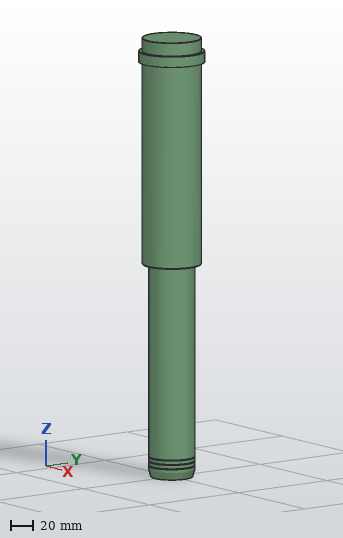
import cadquery as cq

total_length = 403.0
head_length = 12.0
flange_thickness = 10.0
sleeve_length = 186.0

head_diameter = 54.0
flange_diameter = 60.0
sleeve_diameter = 54.0
rod_diameter = 42.0

head_chamfer = 0.5
flange_chamfer = 0.5
tip_chamfer = 0.5
sleeve_chamfer = 1.0
tip_taper_length = 7.0
tip_taper_inset = 1.9

groove_count = 3
groove_width = 1.0
groove_depth = 0.5
groove_pitch = 4.0
first_groove_bottom = 10.0

relief_width = 1.0
relief_depth = 0.5

flange_top = total_length - head_length
flange_bottom = flange_top - flange_thickness
sleeve_bottom = flange_bottom - sleeve_length


def cylinder(diameter, bottom, top):
    """Solid cylinder about the Z axis between two levels."""
    return cq.Workplane("XY").workplane(offset=bottom).circle(diameter / 2).extrude(top - bottom)


def make_rod():
    """Lower rod with a conical lead-in at its tip."""
    rod = cylinder(rod_diameter, 0, sleeve_bottom)
    tapered = rod.faces("<Z").chamfer(tip_taper_length, tip_taper_inset)
    return tapered.faces("<Z").edges().chamfer(tip_chamfer)


def make_groove(bottom):
    """Ring cutter for a shallow groove with walls sloped at 45 degrees."""
    root_radius = rod_diameter / 2 - groove_depth
    rim_radius = rod_diameter / 2
    middle = bottom + groove_width / 2
    profile = [(rim_radius, bottom), (root_radius, middle), (rim_radius, bottom + groove_width)]
    return cq.Workplane("XZ").polyline(profile).close().revolve(360, (0, 0), (0, 1))


def make_relief():
    """Ring cutter for the undercut on the rod just below the sleeve."""
    bottom = sleeve_bottom - relief_width
    outer = cylinder(sleeve_diameter, bottom, sleeve_bottom)
    core = cylinder(rod_diameter - 2 * relief_depth, bottom, sleeve_bottom)
    return outer.cut(core)


def make_sleeve():
    """Upper sleeve with a chamfered lower rim."""
    sleeve = cylinder(sleeve_diameter, sleeve_bottom, flange_bottom)
    return sleeve.faces("<Z").edges().chamfer(sleeve_chamfer)


def make_head():
    """Short cap above the flange with a broken top edge."""
    head = cylinder(head_diameter, flange_top, total_length)
    return head.faces(">Z").edges().chamfer(head_chamfer)


def make_flange():
    """Stop collar with a broken upper rim."""
    flange = cylinder(flange_diameter, flange_bottom, flange_top)
    return flange.faces(">Z").edges().chamfer(flange_chamfer)


result = make_rod().union(make_sleeve()).union(make_flange()).union(make_head())

result = result.cut(make_relief())
for index in range(groove_count):
    result = result.cut(make_groove(first_groove_bottom + index * groove_pitch))